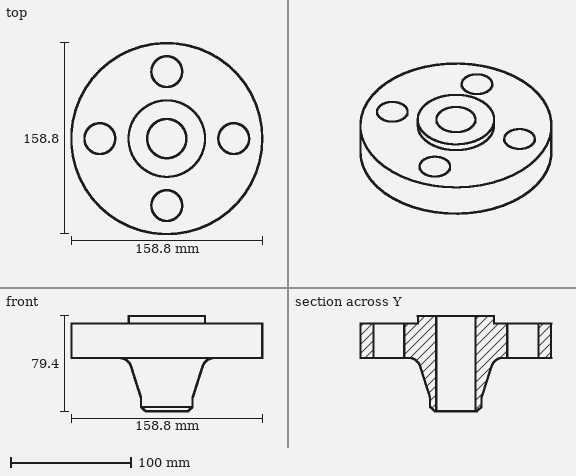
import cadquery as cq
import math

total_height = 79.4
flange_radius = 79.4
flange_thickness = 28.7
raised_face_radius = 31.8
raised_face_height = 6.4
bore_radius = 16.2
bolt_circle_radius = 55.5
bolt_hole_radius = 12.7
bolt_count = 4

neck_radius = 21.5
bevel_height = 3.7
bevel_width = 4.0
neck_top = 11.1
cone_top = 37.5
cone_top_radius = 29.8

flange_top = total_height - raised_face_height
flange_bottom = flange_top - flange_thickness

cone_angle = math.atan2(cone_top - neck_top, cone_top_radius - neck_radius)
blend_radius = (flange_bottom - cone_top) / (1 - math.cos(cone_angle))
blend_center_radius = cone_top_radius + blend_radius * math.sin(cone_angle)
blend_center_height = flange_bottom - blend_radius
blend_mid = (
    blend_center_radius - blend_radius * math.sin(cone_angle / 2),
    blend_center_height + blend_radius * math.cos(cone_angle / 2),
)

body = (
    cq.Workplane("XZ")
    .moveTo(bore_radius, 0)
    .lineTo(neck_radius - bevel_width, 0)
    .lineTo(neck_radius, bevel_height)
    .lineTo(neck_radius, neck_top)
    .lineTo(cone_top_radius, cone_top)
    .threePointArc(blend_mid, (blend_center_radius, flange_bottom))
    .lineTo(flange_radius, flange_bottom)
    .lineTo(flange_radius, flange_top)
    .lineTo(raised_face_radius, flange_top)
    .lineTo(raised_face_radius, total_height)
    .lineTo(bore_radius, total_height)
    .close()
    .revolve(360, (0, 0, 0), (0, 1, 0))
)

bolt_holes = (
    cq.Workplane("XY")
    .workplane(offset=flange_bottom)
    .polarArray(bolt_circle_radius, 0, 360, bolt_count)
    .circle(bolt_hole_radius)
    .extrude(flange_thickness)
)

result = body.cut(bolt_holes)